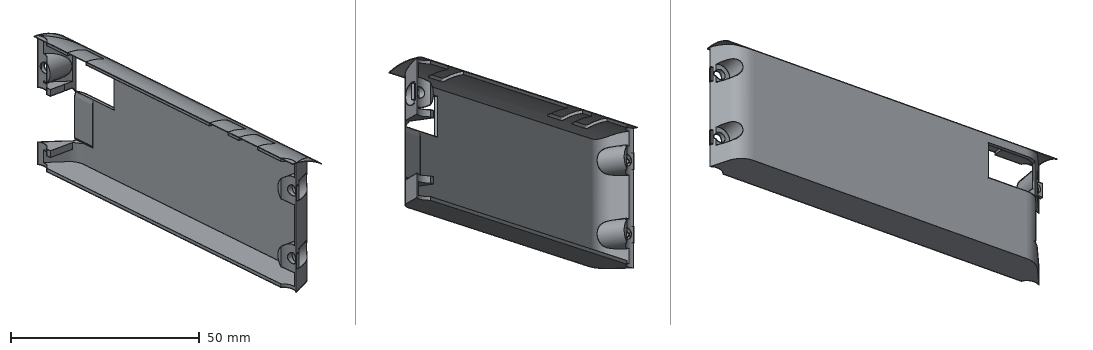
import cadquery as cq
import math

LENGTH = 104.25
DEPTH = 10.09
HEIGHT = 38.01
WALL = 1.0
PLATE_Y = DEPTH - WALL
FRONT_Y = 0.15

TOP_DROP = 3.0
TOP_RUN = DEPTH - FRONT_Y
TOP_RADIUS = (TOP_RUN**2 + TOP_DROP**2) / (2 * TOP_DROP)
SKIN = 0.1

TIP_Y = 1.2
LEFT_SLOPE = 6.5
RIGHT_SLOPE = 4.25
END_RADIUS = 6.0

RELIEF_PEAK_X = 2.2
RELIEF_PEAK_Y = 1.8
RELIEF_LENGTH = 4.84

HOLE_DIAMETER = 3.1
BOSS_RADIUS = 4.05
POCKET_RADIUS = 3.05
SCREW_UPPER_Z = 28.97
SCREW_LOWER_Z = 9.06
LEFT_SCREW_X = 2.2
RIGHT_SCREW_X = LENGTH - 2.1
FLOOR_Y = 3.0
LEFT_LEDGE_Y = FLOOR_Y
RIGHT_LEDGE_Y = 2.1
LEDGE_REACH = 0.15
LEDGE_WIDTH = 4.4
LEDGE_THICKNESS = 0.9

WINDOW_STARTS = (13.25, 70.55, 82.4)
WINDOW_WIDTH = 7.45
WINDOW_DEPTH_Y = 6.6
WINDOW_CORNER = 0.5

DISPLAY_X = (6.37, 21.75)
DISPLAY_Z = (21.35, 32.4)

PORT_Z = (6.64, 22.65)
PAD_HEIGHT = 0.15
PAD_END_X = 13.3
PAD_Z = (7.17, 20.8)
PAD_LOWER_SLOPE = 0.45
PAD_UPPER_SLOPE = 1.0
RIB_THICKNESS = 1.95
RIB_END_X = 6.4

CLEAR = 1.0


def box(x, y, z):
    """Box spanning the given (low, high) ranges."""
    return cq.Workplane("XY").box(x[1] - x[0], y[1] - y[0], z[1] - z[0], centered=False).translate(
        (x[0], y[0], z[0])
    )


def cylinder_y(x, z, radius, y_low, y_high):
    """Cylinder along Y."""
    axis = cq.Vector(0, 1, 0)
    return cq.Workplane(cq.Solid.makeCylinder(radius, y_high - y_low, cq.Vector(x, y_low, z), axis))


def top_z(y, inset):
    """Height of the top arc at depth y, moved inwards by inset."""
    radius = TOP_RADIUS - inset
    return HEIGHT - TOP_RADIUS + math.sqrt(radius**2 - (y - FRONT_Y) ** 2)


def side_profile(inset, y_front, y_back, z_bottom):
    """YZ outline under the top arc, extruded over the whole length."""
    y_mid = (FRONT_Y + y_back) / 2
    return (
        cq.Workplane("YZ")
        .moveTo(y_front, z_bottom)
        .lineTo(y_front, HEIGHT - inset)
        .lineTo(FRONT_Y, HEIGHT - inset)
        .threePointArc((y_mid, top_z(y_mid, inset)), (y_back, top_z(y_back, inset)))
        .lineTo(y_back, z_bottom)
        .close()
        .extrude(LENGTH)
    )


def end_outline(inset, y_front):
    """XY outline with sloped ends, moved inwards by inset, extruded over the height."""
    left_angle = math.atan2(DEPTH - TIP_Y, LEFT_SLOPE)
    right_angle = math.atan2(DEPTH - TIP_Y, RIGHT_SLOPE)
    left_tip = inset / math.sin(left_angle)
    right_tip = LENGTH - inset / math.sin(right_angle)
    left_back = LEFT_SLOPE + inset * math.tan(left_angle / 2)
    right_back = LENGTH - RIGHT_SLOPE - inset * math.tan(right_angle / 2)
    return (
        cq.Workplane("XY")
        .moveTo(left_tip, y_front)
        .lineTo(left_tip, TIP_Y)
        .lineTo(left_back, DEPTH - inset)
        .lineTo(right_back, DEPTH - inset)
        .lineTo(right_tip, TIP_Y)
        .lineTo(right_tip, y_front)
        .close()
        .extrude(HEIGHT)
        .edges("|Z and >Y")
        .fillet(END_RADIUS - inset)
    )


def end_relief():
    """Material removed from the front rim at the left end, bounded by one arc."""
    return (
        cq.Workplane("XY")
        .moveTo(0, -CLEAR)
        .lineTo(0, TIP_Y)
        .threePointArc((RELIEF_PEAK_X, RELIEF_PEAK_Y), (RELIEF_LENGTH, FRONT_Y))
        .lineTo(RELIEF_LENGTH, -CLEAR)
        .close()
        .extrude(HEIGHT)
    )


def screws():
    """Centre X, centre Z and ledge back face of each screw."""
    return (
        (LEFT_SCREW_X, SCREW_UPPER_Z, LEFT_LEDGE_Y),
        (RIGHT_SCREW_X, SCREW_UPPER_Z, RIGHT_LEDGE_Y),
        (RIGHT_SCREW_X, SCREW_LOWER_Z, RIGHT_LEDGE_Y),
    )


def floor_ledge(x, z, ledge_y):
    """Part of a pocket floor that stands out of the sloped end wall."""
    x_range = (0, x) if x < LENGTH / 2 else (x, LENGTH + LEDGE_REACH)
    z_range = (z - LEDGE_WIDTH / 2, z + LEDGE_WIDTH / 2)
    return box(x_range, (ledge_y - LEDGE_THICKNESS, ledge_y), z_range)


def port_pad():
    """Raised pad on the back plate behind the port, with sloped long sides."""
    pad_y = PLATE_Y - PAD_HEIGHT
    return (
        cq.Workplane("YZ")
        .polyline(
            [
                (PLATE_Y, PAD_Z[0]),
                (pad_y, PAD_Z[0] + PAD_LOWER_SLOPE),
                (pad_y, PAD_Z[1] - PAD_UPPER_SLOPE),
                (PLATE_Y, PAD_Z[1]),
            ]
        )
        .close()
        .extrude(PAD_END_X)
    )


def port_cut():
    """Port opening whose rounded corners run out at the pad edges."""
    return (
        box((-CLEAR, PAD_END_X), (-CLEAR, PLATE_Y), PORT_Z)
        .edges("|X and >Y and >Z")
        .fillet(PORT_Z[1] - PAD_Z[1])
        .edges("|X and >Y and <Z")
        .fillet(PAD_Z[0] - PORT_Z[0])
    )


def snap_window(x_start):
    """Cutter for one window in the top wall, open to the front rim."""
    return (
        box(
            (x_start, x_start + WINDOW_WIDTH),
            (-CLEAR, WINDOW_DEPTH_Y),
            (HEIGHT - TOP_DROP, HEIGHT + CLEAR),
        )
        .edges("|Z and >Y")
        .fillet(WINDOW_CORNER)
    )


envelope = side_profile(0, 0, DEPTH, 0).intersect(end_outline(0, FRONT_Y))
cavity = side_profile(WALL, -CLEAR, PLATE_Y, WALL).intersect(end_outline(WALL, -CLEAR))

supports = cq.Workplane()
for x, z, _ in screws():
    supports = supports.add(cylinder_y(x, z, BOSS_RADIUS, FRONT_Y, DEPTH))
for z_low in (PORT_Z[0] - RIB_THICKNESS, PORT_Z[1]):
    supports = supports.add(box((0, RIB_END_X), (FRONT_Y, DEPTH), (z_low, z_low + RIB_THICKNESS)))

body = envelope.cut(cavity).union(supports.combine().intersect(envelope))

for x, z, ledge_y in screws():
    body = body.union(floor_ledge(x, z, ledge_y))
relief = end_relief()
body = body.cut(relief).cut(relief.mirror("YZ").translate((LENGTH, 0, 0)))

body = body.cut(port_cut()).union(port_pad().intersect(envelope))
body = body.cut(box(DISPLAY_X, (DEPTH / 2, DEPTH + CLEAR), DISPLAY_Z))
for x_start in WINDOW_STARTS:
    body = body.cut(snap_window(x_start))

for x, z, _ in screws():
    body = body.cut(cylinder_y(x, z, POCKET_RADIUS, FLOOR_Y, DEPTH + CLEAR))
    body = body.cut(cylinder_y(x, z, HOLE_DIAMETER / 2, -CLEAR, DEPTH + CLEAR))

skin = side_profile(0, 0, DEPTH, 0).cut(side_profile(SKIN, -CLEAR, DEPTH, -CLEAR))
result = body.union(skin, clean=False)